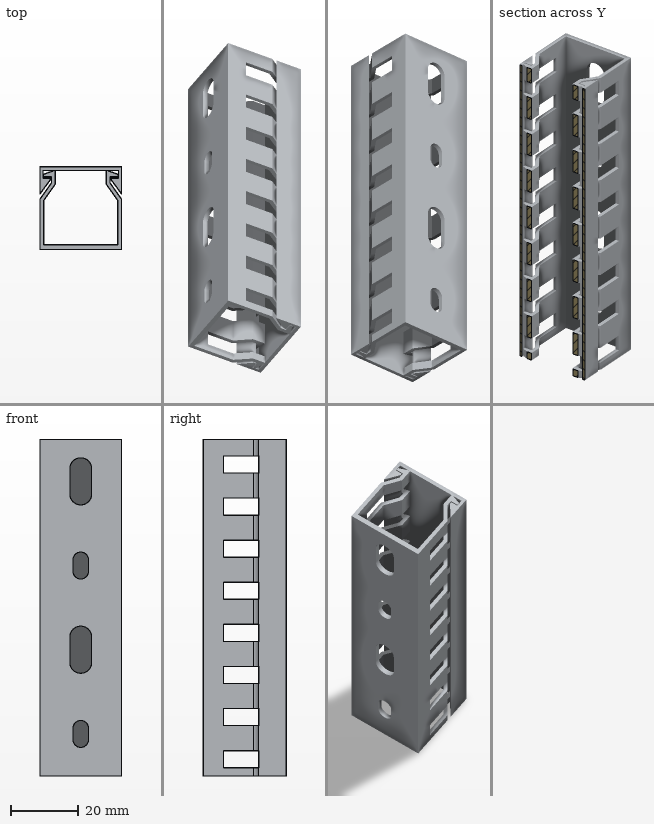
import cadquery as cq

length = 100.0
width = 24.3
depth = 24.7
half_width = width / 2

wall = 1.2
base_thickness = 1.5
shoulder_y = 15.0
neck_y = 19.8
neck_inset = 3.4
inner_bend_drop = 0.35
lip_underside_y = 21.6
lip_tip_height = 0.8
lip_top_width = 0.5
lip_tip_clearance = 0.1

cover_thickness = 1.2
cover_side = 0.95
skirt_tip_y = 16.5
hook_clearance = 0.3
hook_nose_height = 0.6

finger_slot_width = 5.0
finger_slot_pitch = 12.5
finger_slot_count = 8
first_finger_slot_z = 5.0
finger_slot_bottom_y = 6.1

small_slot_length = 8.0
small_slot_width = 4.6
large_slot_length = 14.0
large_slot_width = 6.5
mounting_pitch = 50.0
first_small_slot_z = 12.5
first_large_slot_z = 37.5
mounting_slot_count = 2


def symmetric_bar(right_half):
    """Extrude along Z the section made of a half outline and its mirror image in X."""
    left_half = [(-x, y) for x, y in reversed(right_half)]
    return cq.Workplane("XY").polyline(right_half + left_half).close().extrude(length)


def finger_slots():
    """Slots across the full width, cutting the upper side walls into fingers."""
    slot_height = depth - finger_slot_bottom_y
    slots = cq.Workplane("XY")
    for i in range(finger_slot_count):
        slot_z = first_finger_slot_z + i * finger_slot_pitch
        slots = slots.union(
            cq.Workplane("XY")
            .box(width, slot_height, finger_slot_width, centered=(True, False, True))
            .translate((0, finger_slot_bottom_y, slot_z))
        )
    return slots


def mounting_slots(slot_length, slot_width, first_z):
    """Upright round-ended slots through the base, repeated along Z."""
    centres = [(0, first_z + i * mounting_pitch) for i in range(mounting_slot_count)]
    return (
        cq.Workplane("XZ")
        .pushPoints(centres)
        .slot2D(slot_length, slot_width, angle=90)
        .extrude(-base_thickness)
    )


def make_duct():
    """U-shaped channel with necked side walls that end in outward lips."""
    lip_top_y = depth - cover_thickness
    inner_wall_x = half_width - wall
    neck_outer_x = half_width - neck_inset
    neck_inner_x = neck_outer_x - wall
    lip_tip_x = half_width - cover_side - lip_tip_clearance
    right_half = [
        (half_width, 0),
        (half_width, shoulder_y),
        (neck_outer_x, neck_y),
        (neck_outer_x, lip_underside_y),
        (lip_tip_x, lip_underside_y),
        (lip_tip_x, lip_underside_y + lip_tip_height),
        (neck_inner_x + lip_top_width, lip_top_y),
        (neck_inner_x, lip_top_y),
        (neck_inner_x, neck_y - inner_bend_drop),
        (inner_wall_x, shoulder_y - inner_bend_drop),
        (inner_wall_x, base_thickness),
    ]
    duct = symmetric_bar(right_half).cut(finger_slots())
    duct = duct.cut(mounting_slots(small_slot_length, small_slot_width, first_small_slot_z))
    return duct.cut(mounting_slots(large_slot_length, large_slot_width, first_large_slot_z))


def make_cover():
    """Flat cover whose side skirts carry inward hooks that catch under the duct lips."""
    inner_side_x = half_width - cover_side
    hook_top_y = lip_underside_y - hook_clearance
    hook_nose_x = half_width - neck_inset + hook_clearance
    right_half = [
        (half_width, depth),
        (half_width, skirt_tip_y),
        (hook_nose_x, hook_top_y - hook_nose_height),
        (hook_nose_x, hook_top_y),
        (inner_side_x, hook_top_y),
        (inner_side_x, depth - cover_thickness),
    ]
    return symmetric_bar(right_half)


duct = make_duct()
cover = make_cover()
result = cq.Compound.makeCompound([duct.val(), cover.val()])